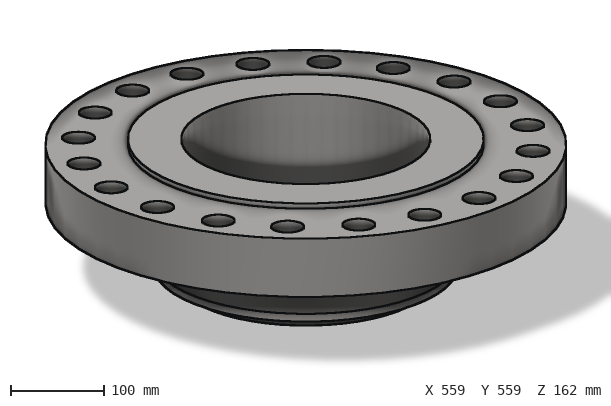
import cadquery as cq
import math

flange_diameter = 559.0
flange_thickness = 67.0
raised_face_diameter = 381.5
raised_face_height = 6.0
total_height = 162.0

hub_base_diameter = 400.0
hub_end_diameter = 325.0
hub_fillet_radius = 14.0
weld_band_height = 9.0
weld_bevel_height = 13.5
shallow_bevel_height = 1.5
bevel_break_diameter = 306.0
weld_tip_diameter = 271.5

bore_diameter = 267.0
bolt_circle_diameter = 489.0
bolt_hole_diameter = 35.0
bolt_count = 20

flange_top = total_height - raised_face_height
flange_bottom = flange_top - flange_thickness
band_bottom = weld_bevel_height + shallow_bevel_height
band_top = band_bottom + weld_band_height


def make_disc(diameter, bottom, height):
    return cq.Workplane("XY").workplane(offset=bottom).circle(diameter / 2).extrude(height)


def make_flange_and_hub():
    """Revolve the outer profile, filling the corner between hub and flange with an arc."""
    base_radius = hub_base_diameter / 2
    end_radius = hub_end_diameter / 2
    slope = math.atan2(flange_bottom - band_top, base_radius - end_radius)
    half_sweep = slope / 2
    tangent_length = hub_fillet_radius * math.tan(half_sweep)
    cone_tangent = (
        base_radius - tangent_length * math.cos(slope),
        flange_bottom - tangent_length * math.sin(slope),
    )
    flange_tangent = (base_radius + tangent_length, flange_bottom)
    arc_middle = (
        flange_tangent[0] - hub_fillet_radius * math.sin(half_sweep),
        flange_bottom - hub_fillet_radius * (1 - math.cos(half_sweep)),
    )
    return (
        cq.Workplane("XZ")
        .moveTo(0, 0)
        .lineTo(weld_tip_diameter / 2, 0)
        .lineTo(bevel_break_diameter / 2, weld_bevel_height)
        .lineTo(end_radius, band_bottom)
        .lineTo(end_radius, band_top)
        .lineTo(*cone_tangent)
        .threePointArc(arc_middle, flange_tangent)
        .lineTo(flange_diameter / 2, flange_bottom)
        .lineTo(flange_diameter / 2, flange_top)
        .lineTo(0, flange_top)
        .close()
        .revolve(360, (0, 0, 0), (0, 1, 0))
    )


def make_bolt_holes():
    return (
        cq.Workplane("XY")
        .workplane(offset=flange_bottom)
        .polarArray(bolt_circle_diameter / 2, 0, 360, bolt_count)
        .circle(bolt_hole_diameter / 2)
        .extrude(flange_thickness)
    )


body = make_flange_and_hub().union(make_disc(raised_face_diameter, flange_top, raised_face_height))
bore = make_disc(bore_diameter, 0, total_height)
result = body.cut(bore).cut(make_bolt_holes())